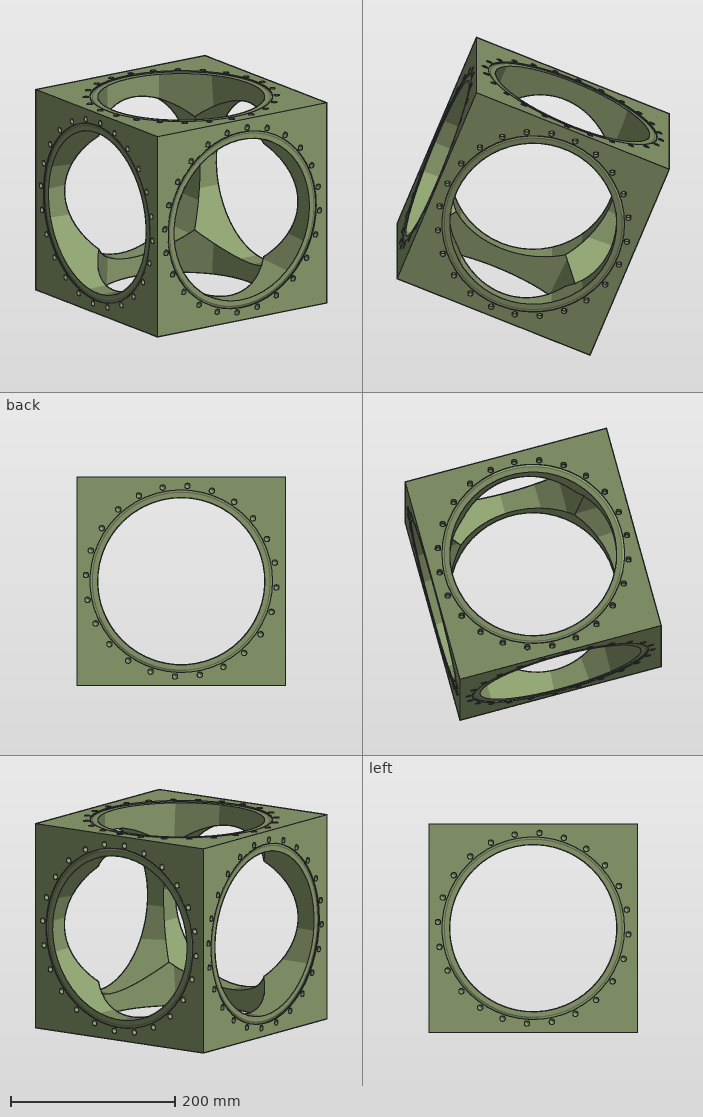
import cadquery as cq
import math

cube_size = 254
bore_diameter = 203.2

recess_diameter = 222.2
seat_diameter = 216.7
seat_depth = 1.0
rim_slope_angle = 10

bolt_count = 24
bolt_circle_diameter = 232.5
bolt_diameter = 6.5
bolt_depth = 12.7
drill_point_angle = 118
bolt_pitch_angle = 360 / bolt_count
first_bolt_angle = -bolt_pitch_angle / 4

half_size = cube_size / 2

faces = [
    ((0, -1, 0), (1, 0, 0)),
    ((0, 1, 0), (-1, 0, 0)),
    ((-1, 0, 0), (0, -1, 0)),
    ((1, 0, 0), (0, 1, 0)),
    ((0, 0, 1), (1, 0, 0)),
    ((0, 0, -1), (1, 0, 0)),
]


def face_plane(normal, horizontal):
    origin = tuple(half_size * n for n in normal)
    return cq.Plane(origin=origin, xDir=horizontal, normal=normal)


def revolved(profile):
    """Solid made by turning a radius-height profile about the local Z axis."""
    return cq.Workplane("XZ").polyline(profile).close().revolve(360, (0, 0), (0, 1)).val()


def recess_cutter():
    """Shallow disc with a sloping rim, reaching down from the local XY plane."""
    seat_radius = seat_diameter / 2
    wall_radius = recess_diameter / 2
    slope_drop = (wall_radius - seat_radius) * math.tan(math.radians(rim_slope_angle))
    wall_depth = seat_depth + slope_drop
    profile = [
        (0, 0),
        (wall_radius, 0),
        (wall_radius, -wall_depth),
        (seat_radius, -seat_depth),
        (0, -seat_depth),
    ]
    return revolved(profile)


def drill_bit():
    """Cylinder with a conical point, reaching down from the local XY plane."""
    radius = bolt_diameter / 2
    point_length = radius / math.tan(math.radians(drill_point_angle / 2))
    profile = [(0, 0), (radius, 0), (radius, -bolt_depth), (0, -bolt_depth - point_length)]
    return revolved(profile)


def bolt_cutters(plane, bit):
    """Copies of the drill bit spaced around the bolt circle of one face."""
    cutters = []
    for index in range(bolt_count):
        angle = math.radians(first_bolt_angle + index * bolt_pitch_angle)
        offset = cq.Vector(math.cos(angle), math.sin(angle)) * (bolt_circle_diameter / 2)
        cutters.append(bit.moved(plane.location * cq.Location(offset)))
    return cutters


body = cq.Workplane("XY").box(cube_size, cube_size, cube_size)
for axis_plane in ("XY", "YZ", "ZX"):
    bore = cq.Workplane(axis_plane).circle(bore_diameter / 2).extrude(half_size, both=True)
    body = body.cut(bore)

recess = recess_cutter()
bit = drill_bit()
bolt_holes = []
for normal, horizontal in faces:
    plane = face_plane(normal, horizontal)
    body = body.cut(cq.Workplane(recess.moved(plane.location)))
    bolt_holes += bolt_cutters(plane, bit)

result = body.cut(cq.Workplane(cq.Compound.makeCompound(bolt_holes)))